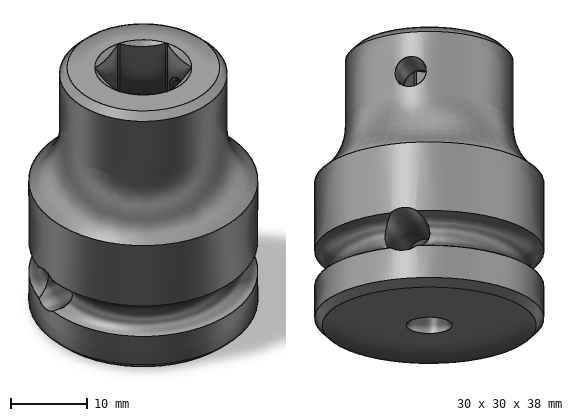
import cadquery as cq
import math

height = 38.0
body_radius = 15.0
neck_radius = 11.0
rim_chamfer = 1.0
shoulder_bottom = 20.0
shoulder_arc_radius = 10.0
groove_center_z = 7.95
groove_half_width = 2.45
groove_depth = 2.0

bore_diameter = 6.0
cross_hole_diameter = 6.0
cross_hole_z = groove_center_z

hex_across_flats = 11.0
hex_corner_diameter = 12.5
hex_depth = 13.0
socket_mouth_diameter = 12.7
mouth_angle = 30.0

side_hole_z = 31.5
side_hole_diameter = 4.18
side_recess_diameter = 5.0
side_recess_depth = 0.1


def turned_body():
    """Neck, concave shoulder and grooved base with chamfered rims."""
    arc_center_r = neck_radius + shoulder_arc_radius
    shoulder_angle = math.acos((arc_center_r - body_radius) / shoulder_arc_radius)
    shoulder_top = shoulder_bottom + shoulder_arc_radius * math.sin(shoulder_angle)
    shoulder_mid = (
        arc_center_r - shoulder_arc_radius * math.cos(shoulder_angle / 2),
        shoulder_top - shoulder_arc_radius * math.sin(shoulder_angle / 2),
    )
    return (
        cq.Workplane("XZ")
        .lineTo(body_radius - rim_chamfer, 0)
        .lineTo(body_radius, rim_chamfer)
        .lineTo(body_radius, groove_center_z - groove_half_width)
        .threePointArc(
            (body_radius - groove_depth, groove_center_z),
            (body_radius, groove_center_z + groove_half_width),
        )
        .lineTo(body_radius, shoulder_bottom)
        .threePointArc(shoulder_mid, (neck_radius, shoulder_top))
        .lineTo(neck_radius, height - rim_chamfer)
        .lineTo(neck_radius - rim_chamfer, height)
        .lineTo(0, height)
        .close()
        .revolve(360, (0, 0, 0), (0, 1, 0))
    )


def hex_socket():
    """Hexagonal pocket with slightly blunted corners."""
    floor = cq.Workplane("XY").workplane(offset=height - hex_depth)
    hexagon = floor.polygon(6, hex_across_flats, circumscribed=True).extrude(hex_depth)
    corner_limit = floor.circle(hex_corner_diameter / 2).extrude(hex_depth)
    return hexagon.rotate((0, 0, 0), (0, 0, 1), 30).intersect(corner_limit)


def socket_mouth():
    """Conical lead-in of the socket, tapering to the width of the flats."""
    mouth_radius = socket_mouth_diameter / 2
    flat_radius = hex_across_flats / 2
    depth = (mouth_radius - flat_radius) * math.tan(math.radians(mouth_angle))
    return cq.Workplane("XY").add(
        cq.Solid.makeCone(flat_radius, mouth_radius, depth, pnt=cq.Vector(0, 0, height - depth))
    )


def hole_along_y(diameter, z, start_y, length):
    """Cylinder of the given length running toward +Y."""
    return cq.Workplane("XY").add(
        cq.Solid.makeCylinder(diameter / 2, length, cq.Vector(0, start_y, z), cq.Vector(0, 1, 0))
    )


def side_hole():
    """Radial hole with a shallow recess around its inner end."""
    recess_length = hex_across_flats / 2 + side_recess_depth
    recess = hole_along_y(side_recess_diameter, side_hole_z, 0, recess_length)
    return hole_along_y(side_hole_diameter, side_hole_z, 0, body_radius).union(recess)


bore = cq.Workplane("XY").circle(bore_diameter / 2).extrude(height)
cross_hole = hole_along_y(cross_hole_diameter, cross_hole_z, -body_radius, 2 * body_radius)

result = turned_body().cut(bore).cut(cross_hole)
result = result.cut(hex_socket()).cut(socket_mouth()).cut(side_hole())